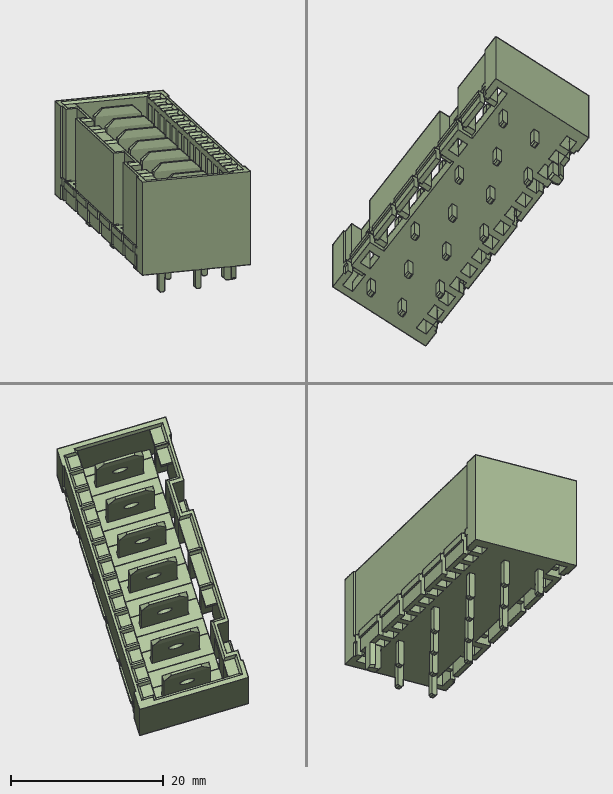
import cadquery as cq
LENGTH = 37.0
WIDTH = 14.9
HEIGHT = 12.8
PITCH = 5.0
PIN_COUNT = 7
PIN_XS = [PITCH * (i - (PIN_COUNT - 1) / 2) for i in range(PIN_COUNT)]

PANEL_LENGTH = 32.0
PANEL_RECESS = 0.25
BAND_BOTTOM = 2.0
BAND_TOP = 3.0
FRONT_NOTCH_WIDTH = 0.8
FRONT_NOTCH_STEP = 1.0
BACK_NOTCH_WIDTH = 0.95
BACK_NOTCH_PITCH = 6.0
BACK_NOTCH_COUNT = 6

CAVITY_LENGTH = 35.1
FLOOR_HALF_WIDTH = 4.95
SLOT_HALF_WIDTH = 6.5
FLOOR_TOP = 3.0
FLOOR_GROOVE_WIDTH = 2.2
FLOOR_GROOVE_DEPTH = 0.15
GROOVE_FLOOR = FLOOR_TOP - FLOOR_GROOVE_DEPTH
LEAD_IN = 0.33
SHELF_TOP = HEIGHT - LEAD_IN
SHELF_THICKNESS = 0.8

BACK_SLOT_PITCH = PITCH / 2
BACK_SLOT_COUNT = 14
BACK_RIB_WIDTH = 0.9
BACK_SLOT_WIDTH = BACK_SLOT_PITCH - BACK_RIB_WIDTH

LATCH_XS = (-12.5, 7.5)
LATCH_BUMP_WIDTH = 5.75
LATCH_RECESS_WIDTH = 4.1
LATCH_WINDOW_WIDTH = 2.1
LATCH_WINDOW_TOP = 10.1
LATCH_FACE_Y = -5.65
FRONT_RIB_XS = (-PITCH, 0.0, 3 * PITCH)
FRONT_RIB_WIDTH = 0.75
KEY_WIDTH = 2.1

BLADE_THICKNESS = 0.8
BLADE_WIDTH = 6.4
BLADE_TOP = 12.35
BLADE_TIP_THICKNESS = 0.35
BLADE_TIP_WIDTH = 4.15
BLADE_TIP_HEIGHT = 1.05
BLADE_FOOT_WIDTH = 6.6
BLADE_FOOT_TOP = 3.8
BLADE_HOLE_DIAMETER = 2.0
BLADE_HOLE_Z = 7.95
LEG_WIDTH = 0.8
LEG_LENGTH = 3.6
LEG_SPACING = PITCH
LEG_STAGGER = PITCH / 4
LEG_TIP_CUT = 0.2
LEG_TIP_HEIGHT = 0.2

PEG_X = 12.5
PEG_FRONT_Y = 5.55
PEG_STEM_WIDTH = 1.05
PEG_STEM_LENGTH = 0.95
PEG_BAR_LENGTH = 0.7
PEG_BAR_WIDTH = 1.7
PEG_BAR_BACK_WIDTH = 1.3
PEG_TIP_BEVEL = 0.3


def block(x, y, z):
    """Box spanning the given (low, high) ranges."""
    size = [high - low for low, high in (x, y, z)]
    return cq.Workplane("XY").box(*size, centered=False).translate((x[0], y[0], z[0]))


def around(center, width):
    """Range of the given width about a center."""
    return (center - width / 2, center + width / 2)


def front_slots():
    """X ranges of the slots between the end walls, bumps and ribs of the front side."""
    dividers = [around(x, LATCH_BUMP_WIDTH) for x in LATCH_XS]
    dividers += [around(x, FRONT_RIB_WIDTH) for x in FRONT_RIB_XS]
    dividers.sort()
    starts = [-CAVITY_LENGTH / 2] + [high for low, high in dividers]
    ends = [low for low, high in dividers] + [CAVITY_LENGTH / 2]
    return list(zip(starts, ends))


def back_slots():
    """X ranges of the equally spaced slots of the back side."""
    first = -BACK_SLOT_PITCH * (BACK_SLOT_COUNT - 1) / 2
    return [around(first + i * BACK_SLOT_PITCH, BACK_SLOT_WIDTH) for i in range(BACK_SLOT_COUNT)]


def corners(x, y):
    """Corner points of the rectangle spanning the given ranges."""
    return [(x[0], y[0]), (x[1], y[0]), (x[1], y[1]), (x[0], y[1])]


def flared(x, y, sides):
    """Rim opening over a rectangle, sloping outward at 45 degrees on the named sides."""
    wide_x = (x[0] - LEAD_IN * ("left" in sides), x[1] + LEAD_IN * ("right" in sides))
    wide_y = (y[0] - LEAD_IN * ("front" in sides), y[1] + LEAD_IN * ("back" in sides))
    return (
        cq.Workplane("XY", origin=(0, 0, SHELF_TOP))
        .polyline(corners(x, y))
        .close()
        .workplane(offset=LEAD_IN, origin=(0, 0, SHELF_TOP))
        .polyline(corners(wide_x, wide_y))
        .close()
        .loft(ruled=True)
    )


def cut_outer_walls(body):
    half = WIDTH / 2
    panel = around(0, PANEL_LENGTH)
    for z in ((0, BAND_BOTTOM), (BAND_TOP, HEIGHT)):
        body = body.cut(block(panel, (-half, -half + PANEL_RECESS), z))
        body = body.cut(block(panel, (half - PANEL_RECESS, half), z))
    return body


def cut_cavity(body):
    floor_x = around(0, CAVITY_LENGTH)
    floor_y = around(0, 2 * FLOOR_HALF_WIDTH)
    body = body.cut(block(floor_x, floor_y, (FLOOR_TOP, HEIGHT)))
    body = body.cut(flared(floor_x, floor_y, ("left", "right")))

    slots = back_slots()
    body = body.cut(flared((floor_x[0], slots[0][0]), floor_y, ("left", "back")))
    body = body.cut(flared((slots[-1][1], floor_x[1]), floor_y, ("right", "back")))
    for x in LATCH_XS:
        body = body.cut(flared(around(x, LATCH_BUMP_WIDTH), floor_y, ("front",)))
    return body


def cut_floor_grooves(body):
    """Shallow floor grooves midway between contacts and beside the end walls."""
    floor_y = around(0, 2 * FLOOR_HALF_WIDTH)
    groove_z = (GROOVE_FLOOR, FLOOR_TOP)
    for x in PIN_XS[:-1]:
        body = body.cut(block(around(x + PITCH / 2, FLOOR_GROOVE_WIDTH), floor_y, groove_z))
    outer = CAVITY_LENGTH / 2
    inner = PIN_XS[-1] + (PITCH - FLOOR_GROOVE_WIDTH) / 2
    body = body.cut(block((inner, outer), floor_y, groove_z))
    return body.cut(block((-outer, -inner), floor_y, groove_z))


def cut_slots(body):
    """Slots open through the underside, each closed near the top by a shelf."""
    under_shelf = (0, SHELF_TOP - SHELF_THICKNESS)
    back_y = (FLOOR_HALF_WIDTH, SLOT_HALF_WIDTH)
    front_y = (-SLOT_HALF_WIDTH, -FLOOR_HALF_WIDTH)
    for slots, y, outer_side in ((back_slots(), back_y, "back"), (front_slots(), front_y, "front")):
        for x in slots:
            body = body.cut(block(x, y, under_shelf))
            body = body.cut(flared(x, y, ("left", "right", outer_side)))
    for latch_x in LATCH_XS:
        key_start = latch_x + LATCH_BUMP_WIDTH / 2
        body = body.cut(block((key_start, key_start + KEY_WIDTH), front_y, (0, HEIGHT)))
    return body


def cut_latches(body):
    """Latch recesses, each with a window to the cavity and an opening through the underside."""
    for x in LATCH_XS:
        recess_y = (PANEL_RECESS - WIDTH / 2, LATCH_FACE_Y)
        recess = block(around(x, LATCH_RECESS_WIDTH), recess_y, (GROOVE_FLOOR, HEIGHT))
        window_x = around(x, LATCH_WINDOW_WIDTH)
        window = block(window_x, (LATCH_FACE_Y, -FLOOR_HALF_WIDTH), (0, LATCH_WINDOW_TOP))
        opening = block(window_x, (-SLOT_HALF_WIDTH, LATCH_FACE_Y), (0, FLOOR_TOP))
        body = body.cut(recess).cut(window).cut(opening)
    return body


def cut_notches(body):
    """Notches through the foot of both long walls."""
    z = (0, BAND_TOP)
    for pin_x in PIN_XS:
        x = around(pin_x, FRONT_NOTCH_WIDTH)
        body = body.cut(block(x, (-WIDTH / 2, -SLOT_HALF_WIDTH), z))
        body = body.cut(block(x, (-SLOT_HALF_WIDTH, -FLOOR_HALF_WIDTH), (0, FRONT_NOTCH_STEP)))
    first = -BACK_NOTCH_PITCH * (BACK_NOTCH_COUNT - 1) / 2
    for i in range(BACK_NOTCH_COUNT):
        x = around(first + i * BACK_NOTCH_PITCH, BACK_NOTCH_WIDTH)
        body = body.cut(block(x, (SLOT_HALF_WIDTH, WIDTH / 2), z))
    return body


def leg(x, y):
    """Straight solder leg with a tip beveled on its -Y and +Y sides."""
    half = LEG_WIDTH / 2
    outline = [
        (y - half, FLOOR_TOP),
        (y - half, LEG_TIP_HEIGHT - LEG_LENGTH),
        (y - half + LEG_TIP_CUT, -LEG_LENGTH),
        (y + half - LEG_TIP_CUT, -LEG_LENGTH),
        (y + half, LEG_TIP_HEIGHT - LEG_LENGTH),
        (y + half, FLOOR_TOP),
    ]
    profile = cq.Workplane("YZ", origin=(x, 0, 0)).polyline(outline).close()
    return profile.extrude(BLADE_THICKNESS / 2, both=True)


def contact(x, stagger):
    """Upright blade with a tapered tip, a flared foot, a cross hole and two legs."""
    shoulder = BLADE_TOP - BLADE_TIP_HEIGHT
    blade = block(around(x, BLADE_THICKNESS), around(0, BLADE_WIDTH), (0, shoulder))
    tip = (
        cq.Workplane("XY", origin=(x, 0, shoulder))
        .rect(BLADE_THICKNESS, BLADE_WIDTH)
        .workplane(offset=BLADE_TIP_HEIGHT)
        .rect(BLADE_TIP_THICKNESS, BLADE_TIP_WIDTH)
        .loft(ruled=True)
    )
    foot = (
        cq.Workplane("XY", origin=(x, 0, FLOOR_TOP))
        .rect(BLADE_THICKNESS, BLADE_FOOT_WIDTH)
        .workplane(offset=BLADE_FOOT_TOP - FLOOR_TOP)
        .rect(BLADE_THICKNESS, BLADE_WIDTH)
        .loft(ruled=True)
    )
    hole = (
        cq.Workplane("YZ", origin=(x, 0, BLADE_HOLE_Z))
        .circle(BLADE_HOLE_DIAMETER / 2)
        .extrude(BLADE_THICKNESS, both=True)
    )
    part = blade.union(tip).union(foot).cut(hole)
    for side in (-1, 1):
        part = part.union(leg(x, stagger + side * LEG_SPACING / 2))
    return part


def peg():
    """Locating peg: a narrow stem joined to a wider bar that tapers toward the back."""
    bar_y = PEG_FRONT_Y + PEG_STEM_LENGTH
    back_y = bar_y + PEG_BAR_LENGTH
    stem = block(around(PEG_X, PEG_STEM_WIDTH), (PEG_FRONT_Y, bar_y), (-LEG_LENGTH, 0))
    stem = stem.faces("<Z").edges("<Y").chamfer(PEG_TIP_BEVEL)

    half_front = PEG_BAR_WIDTH / 2
    half_back = PEG_BAR_BACK_WIDTH / 2
    bar_outline = [
        (PEG_X - half_front, bar_y),
        (PEG_X + half_front, bar_y),
        (PEG_X + half_back, back_y),
        (PEG_X - half_back, back_y),
    ]
    bar = cq.Workplane("XY").polyline(bar_outline).close().extrude(-LEG_LENGTH)
    bar = bar.faces("<Z").edges("<X or >X").chamfer(PEG_TIP_BEVEL)
    return stem.union(bar)


housing = block(around(0, LENGTH), around(0, WIDTH), (0, HEIGHT))
for step in (cut_outer_walls, cut_cavity, cut_floor_grooves, cut_slots, cut_latches, cut_notches):
    housing = step(housing)

result = housing.union(peg())
for index, pin_x in enumerate(PIN_XS):
    offset = -LEG_STAGGER if index % 2 == 0 else LEG_STAGGER
    result = result.union(contact(pin_x, offset))